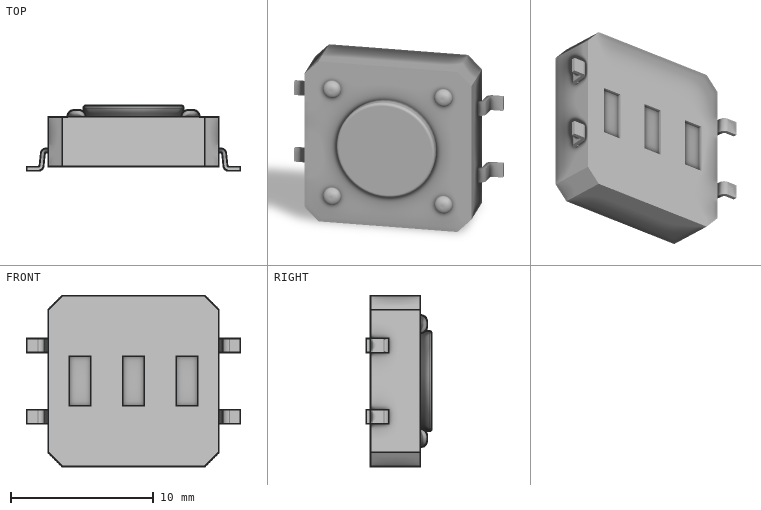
import cadquery as cq
import math

overall_width = 15.0
overall_depth = 4.6

housing_side = 12.0
housing_depth = 3.5
corner_cut = 1.0

slot_count = 3
slot_pitch = 3.75
slot_width = 1.5
slot_height = 3.5
slot_depth = 0.3

dome_offset = 4.0
dome_radius = 0.65
dome_top_radius = 0.15

pin_thickness = 0.3
pin_width = 1.0
pin_pitch = 5.0
shoulder_level = 1.29
foot_length = 0.8
bend_inner_radius = 0.1
leg_slant = math.radians(6)

button_radius = 3.52
button_height = overall_depth - housing_depth - pin_thickness
button_edge_radius = 0.2


def make_housing():
    """Block with cut corners, slots in its mounting face and domes on its button face."""
    block = (
        cq.Workplane("XZ")
        .rect(housing_side, housing_side)
        .extrude(-housing_depth)
        .edges("|Y")
        .chamfer(corner_cut)
    )
    slots = (
        cq.Workplane("XZ")
        .rarray(slot_pitch, 0.15, slot_count, 1)
        .rect(slot_width, slot_height)
        .extrude(-slot_depth)
    )
    housing = block.cut(slots)

    rim_radius = dome_radius - dome_top_radius
    rim_diagonal = rim_radius * math.sin(math.pi / 4)
    dome = (
        cq.Workplane("XY")
        .lineTo(dome_radius, 0)
        .threePointArc(
            (dome_top_radius + rim_diagonal, rim_diagonal),
            (dome_top_radius, rim_radius),
        )
        .lineTo(0, rim_radius)
        .close()
        .revolve(360, (0, 0), (0, 1))
    )
    for x in (-dome_offset, dome_offset):
        for z in (-dome_offset, dome_offset):
            housing = housing.union(dome.translate((x, housing_depth, z)))
    return housing


def make_button():
    """Disc standing on the housing, with a rounded outer rim."""
    return (
        cq.Workplane("XZ", origin=(0, housing_depth, 0))
        .circle(button_radius)
        .extrude(-button_height)
        .faces(">Y")
        .edges()
        .fillet(button_edge_radius)
    )


def on_circle(center, radius, angle):
    """Point on a circle at an angle in radians, measured from +X."""
    return (center[0] + radius * math.cos(angle), center[1] + radius * math.sin(angle))


def make_left_pin():
    """Gull-wing pin on the -X side, centred on Z = 0: foot, slanted leg and shoulder."""
    inner = bend_inner_radius
    outer = bend_inner_radius + pin_thickness
    foot_end_x = -overall_width / 2
    housing_x = -housing_side / 2
    shoulder_underside = shoulder_level - pin_thickness

    foot_center = (foot_end_x + foot_length, inner)
    bend_rise = shoulder_underside - inner - foot_center[1]
    leg_length = (bend_rise + (inner + outer) * math.sin(leg_slant)) / math.cos(leg_slant)
    bend_run = (inner + outer) * math.cos(leg_slant) + leg_length * math.sin(leg_slant)
    shoulder_center = (foot_center[0] + bend_run, foot_center[1] + bend_rise)

    foot_leg_angle = -leg_slant
    foot_middle = (foot_leg_angle - math.pi / 2) / 2
    shoulder_leg_angle = math.pi - leg_slant
    shoulder_middle = (shoulder_leg_angle + math.pi / 2) / 2

    profile = (
        cq.Workplane("XY", origin=(0, 0, -pin_width / 2))
        .moveTo(foot_end_x, -pin_thickness)
        .lineTo(foot_center[0], -pin_thickness)
        .threePointArc(
            on_circle(foot_center, outer, foot_middle),
            on_circle(foot_center, outer, foot_leg_angle),
        )
        .lineTo(*on_circle(shoulder_center, inner, shoulder_leg_angle))
        .threePointArc(
            on_circle(shoulder_center, inner, shoulder_middle),
            (shoulder_center[0], shoulder_underside),
        )
        .lineTo(housing_x, shoulder_underside)
        .lineTo(housing_x, shoulder_level)
        .lineTo(shoulder_center[0], shoulder_level)
        .threePointArc(
            on_circle(shoulder_center, outer, shoulder_middle),
            on_circle(shoulder_center, outer, shoulder_leg_angle),
        )
        .lineTo(*on_circle(foot_center, inner, foot_leg_angle))
        .threePointArc(
            on_circle(foot_center, inner, foot_middle),
            (foot_center[0], 0),
        )
        .lineTo(foot_end_x, 0)
        .close()
    )
    return profile.extrude(pin_width)


def make_pins():
    """Two pins on each side of the housing, mirrored about X = 0."""
    left_pin = make_left_pin()
    right_pin = left_pin.mirror("YZ")
    pins = []
    for z in (-pin_pitch / 2, pin_pitch / 2):
        for pin in (left_pin, right_pin):
            pins.append(pin.translate((0, 0, z)).val())
    return pins


housing = make_housing()
button = make_button()
pins = make_pins()

result = cq.Compound.makeCompound([housing.solids().val(), button.val(), *pins])